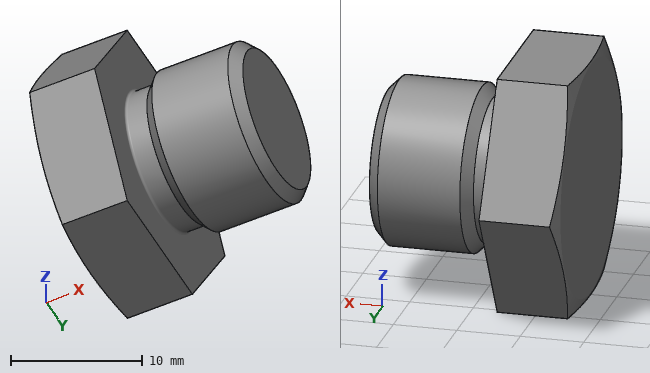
import cadquery as cq
import math

total_length = 16.0
head_thickness = 6.0
neck_length = 1.8
neck_end = head_thickness + neck_length

side_count = 6
across_flats = 19.0
across_corners = across_flats / math.cos(math.pi / side_count)
face_diameter = 18.6
head_chamfer_angle = 15.0

neck_diameter = 11.45
thread_diameter = 13.16
thread_chamfer = (thread_diameter - neck_diameter) / 2
neck_fillet = 0.2


def make_head():
    """Hexagonal prism with corners along Y, its outer face turned to a cone."""
    hexagon = cq.Workplane("YZ").polygon(side_count, across_corners).extrude(head_thickness)
    face_radius = face_diameter / 2
    corner_radius = across_corners / 2
    chamfer_depth = (corner_radius - face_radius) * math.tan(math.radians(head_chamfer_angle))
    turned_blank = (
        cq.Workplane("XY")
        .moveTo(0, 0)
        .lineTo(0, face_radius)
        .lineTo(chamfer_depth, corner_radius)
        .lineTo(head_thickness, corner_radius)
        .lineTo(head_thickness, 0)
        .close()
        .revolve(360, (0, 0, 0), (1, 0, 0))
    )
    return hexagon.intersect(turned_blank)


def make_shank():
    """Undercut neck with a root fillet, then the thread body chamfered at both ends."""
    neck_radius = neck_diameter / 2
    thread_radius = thread_diameter / 2
    fillet_mid = neck_fillet * (1 - math.sqrt(0.5))
    return (
        cq.Workplane("XY")
        .moveTo(head_thickness, 0)
        .lineTo(head_thickness, neck_radius + neck_fillet)
        .threePointArc(
            (head_thickness + fillet_mid, neck_radius + fillet_mid),
            (head_thickness + neck_fillet, neck_radius),
        )
        .lineTo(neck_end, neck_radius)
        .lineTo(neck_end + thread_chamfer, thread_radius)
        .lineTo(total_length - thread_chamfer, thread_radius)
        .lineTo(total_length, neck_radius)
        .lineTo(total_length, 0)
        .close()
        .revolve(360, (0, 0, 0), (1, 0, 0))
    )


result = make_head().union(make_shank())